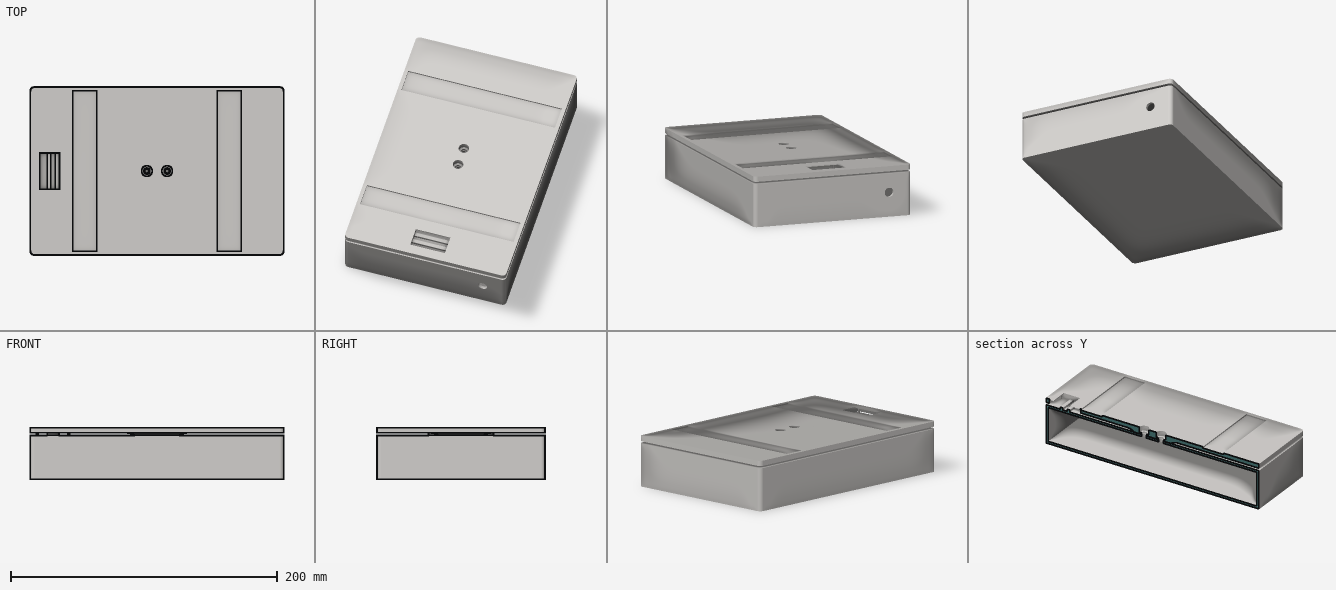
import cadquery as cq

length = 190.0
width = 126.0
corner_radius = 3.0

base_height = 33.0
gap = 1.7
lid_thickness = 4.0
lid_bottom = base_height + gap
lid_top = lid_bottom + lid_thickness

wall = 2.3
port_diameter = 7.0
port_y = -45.2
port_z = 18.6

display_x = -77.9
collar_length = 49.0
collar_width = 9.0
collar_wall = 2.8

window_x = -80.4
window_length = 14.6
window_width = 27.0
pocket_size = 27.4
pocket_roof = 0.8
post_diameter = 1.5
post_spacing = 23.5
post_overhang = 1.0

strip_x = 54.2
strip_length = 18.0
strip_width = 120.0
strip_depth = 1.1

boss_size = 26.6
flare_radius = 8.7
screw_x = 7.6
counterbore_diameter = 8.0
counterbore_depth = 4.2
clearance_diameter = 4.5
pilot_diameter = 3.2


def rounded_plate(bottom, height):
    """A plate of the full outline with rounded vertical corners."""
    plate = cq.Workplane("XY").box(length, width, height, centered=(True, True, False))
    return plate.edges("|Z").fillet(corner_radius).translate((0, 0, bottom))


def block(x, size_x, size_y, bottom, top):
    """A rectangular block centred on the line Y = 0."""
    outline = cq.Workplane("XY", origin=(x, 0, bottom)).rect(size_x, size_y)
    return outline.extrude(top - bottom)


def obround(size_x, size_y, bottom, top):
    """A round-ended block, long in Y, centred under the display."""
    outline = cq.Workplane("XY", origin=(display_x, 0, bottom)).slot2D(size_y, size_x, 90)
    return outline.extrude(top - bottom)


def screw_cylinders(diameter, bottom, top):
    """A pair of upright cylinders on the screw axes."""
    centers = [(-screw_x, 0), (screw_x, 0)]
    outline = cq.Workplane("XY", origin=(0, 0, bottom)).pushPoints(centers)
    return outline.circle(diameter / 2).extrude(top - bottom)


def make_collar():
    """Obround ring with a slot of constant wall thickness."""
    outer = obround(collar_width, collar_length, base_height, lid_bottom)
    slot_width = collar_width - 2 * collar_wall
    slot_length = collar_length - 2 * collar_wall
    return outer.cut(obround(slot_width, slot_length, base_height, lid_bottom))


def make_base():
    """Hollow closed box with the collar on top, a side port and pilot holes for the screws."""
    cavity_length = length - 2 * wall
    cavity_width = width - 2 * wall
    cavity = block(0, cavity_length, cavity_width, wall, base_height - wall)
    port_plane = cq.Workplane("YZ", origin=(-length / 2, port_y, port_z))
    port = port_plane.circle(port_diameter / 2).extrude(wall)
    pilots = screw_cylinders(pilot_diameter, base_height - wall, base_height)
    return rounded_plate(0, base_height).cut(cavity).cut(port).cut(pilots).union(make_collar())


def flare_profile(plane):
    """Boss cross-section: concave quarter arcs that spread out to meet the lid, swept across the boss."""
    half = boss_size / 2
    reach = half + flare_radius
    floor = lid_bottom - flare_radius
    arc_offset = flare_radius * (1 - 0.5**0.5)
    profile = (
        cq.Workplane(plane)
        .moveTo(-half, floor)
        .lineTo(half, floor)
        .threePointArc((half + arc_offset, lid_bottom - arc_offset), (reach, lid_bottom))
        .lineTo(-reach, lid_bottom)
        .threePointArc((-half - arc_offset, lid_bottom - arc_offset), (-half, floor))
        .close()
    )
    return profile.extrude(reach, both=True)


def make_boss():
    """Square boss with all four sides flared, ending on the base."""
    flared = flare_profile("XZ").intersect(flare_profile("YZ"))
    flare_span = boss_size + 2 * flare_radius
    return flared.intersect(block(0, flare_span, flare_span, base_height, lid_bottom))


def make_posts():
    """Four display posts hanging from the roof of the pocket."""
    bottom = lid_bottom - post_overhang
    outline = cq.Workplane("XY", origin=(display_x, 0, bottom))
    outline = outline.rarray(post_spacing, post_spacing, 2, 2).circle(post_diameter / 2)
    return outline.extrude(lid_top - pocket_roof - bottom)


def make_lid():
    """Flat lid with strip recesses, display window and pocket, posts and the mounting boss."""
    lid = rounded_plate(lid_bottom, lid_thickness).union(make_boss())

    for side in (-1, 1):
        lid = lid.cut(block(side * strip_x, strip_length, strip_width, lid_top - strip_depth, lid_top))

    lid = lid.cut(block(window_x, window_length, window_width, lid_bottom, lid_top))
    lid = lid.cut(block(display_x, pocket_size, pocket_size, lid_bottom, lid_top - pocket_roof))
    lid = lid.union(make_posts())

    lid = lid.cut(screw_cylinders(counterbore_diameter, lid_top - counterbore_depth, lid_top))
    return lid.cut(screw_cylinders(clearance_diameter, base_height, lid_top))


base = make_base()
lid = make_lid()
result = cq.Compound.makeCompound([base.val(), lid.val()])